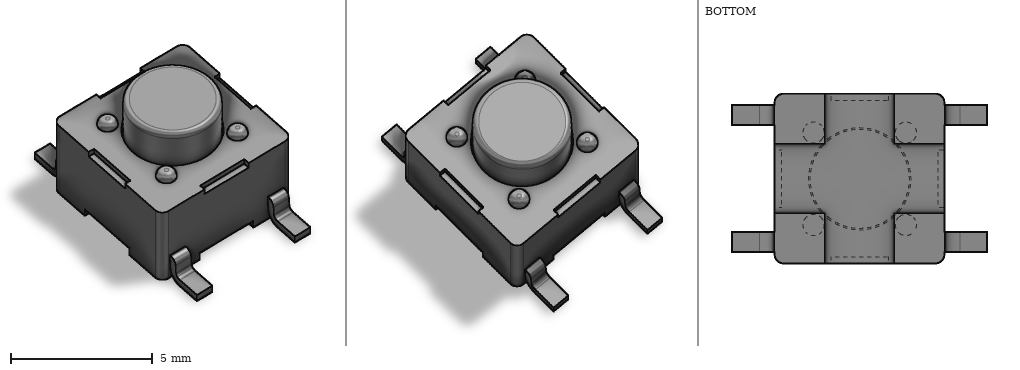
import cadquery as cq
import math

body_side = 6.0
body_height = 3.45
corner_radius = 0.33
cover_thickness = 0.23

notch_width = 2.02
notch_depth = 0.24

channel_width = 2.45
channel_height = 0.33

button_diameter = 3.5
opening_diameter = 3.61
button_top = 5.0
button_fillet = 0.22

rivet_diameter = 0.75
rivet_height = 0.31
rivet_fillet = 0.3
rivet_offset = 1.63

lead_span = 9.0
lead_width = 0.71
lead_thickness = 0.315
lead_spacing = 4.48
lead_height = 1.125
lead_lean = math.radians(4)
foot_length = 0.96
inner_bend_radius = 0.2
shoulder_radius = 0.27
lead_embed = 0.27

half_body = body_side / 2
cover_bottom = body_height - cover_thickness


def make_housing():
    block = cq.Workplane("XY").rect(body_side, body_side).extrude(cover_bottom)
    block = block.edges("|Z").fillet(corner_radius)
    for length, width in ((body_side, channel_width), (channel_width, body_side)):
        channel = cq.Workplane("XY").rect(length, width).extrude(channel_height)
        block = block.cut(channel)
    return block


def make_cover():
    cover = cq.Workplane("XY", origin=(0, 0, cover_bottom)).rect(body_side, body_side)
    cover = cover.extrude(cover_thickness).edges("|Z").fillet(corner_radius)
    opening = cq.Workplane("XY", origin=(0, 0, cover_bottom)).circle(opening_diameter / 2)
    cover = cover.cut(opening.extrude(cover_thickness))
    notch = (
        cq.Workplane("XY", origin=(half_body - notch_depth / 2, 0, cover_bottom))
        .rect(notch_depth, notch_width)
        .extrude(cover_thickness)
    )
    for angle in (0, 90, 180, 270):
        cover = cover.cut(notch.rotate((0, 0, 0), (0, 0, 1), angle))
    return cover


def make_button():
    button = cq.Workplane("XY", origin=(0, 0, cover_bottom)).circle(button_diameter / 2)
    return button.extrude(button_top - cover_bottom).faces(">Z").edges().fillet(button_fillet)


def make_rivets():
    rivets = cq.Workplane("XY", origin=(0, 0, body_height))
    rivets = rivets.rect(2 * rivet_offset, 2 * rivet_offset, forConstruction=True).vertices()
    rivets = rivets.circle(rivet_diameter / 2).extrude(rivet_height)
    return rivets.faces(">Z").edges().fillet(rivet_fillet)


def make_lead():
    """Lead on the -X side, centred on Y = 0."""
    outer_bend_radius = inner_bend_radius + lead_thickness
    foot_end = -lead_span / 2
    bend_x = foot_end + foot_length
    bend_z = outer_bend_radius

    def on_bend(radius, angle):
        return (bend_x + radius * math.sin(angle), bend_z - radius * math.cos(angle))

    turn = math.pi / 2 - lead_lean
    inner_end = on_bend(inner_bend_radius, turn)
    outer_end = on_bend(outer_bend_radius, turn)

    shoulder_z = lead_height - shoulder_radius
    face_z = shoulder_z + shoulder_radius * math.sin(lead_lean)
    face_x = inner_end[0] + (face_z - inner_end[1]) * math.tan(lead_lean)
    shoulder_x = face_x + shoulder_radius * math.cos(lead_lean)
    mid_angle = math.pi - (math.pi / 2 + lead_lean) / 2
    shoulder_mid = (
        shoulder_x + shoulder_radius * math.cos(mid_angle),
        shoulder_z + shoulder_radius * math.sin(mid_angle),
    )

    root_x = -half_body + lead_embed
    entry_x = -half_body
    entry_z = outer_end[1] + (entry_x - outer_end[0]) / math.tan(lead_lean)
    return (
        cq.Workplane("XZ")
        .moveTo(foot_end, 0)
        .lineTo(bend_x, 0)
        .threePointArc(on_bend(outer_bend_radius, turn / 2), outer_end)
        .lineTo(entry_x, entry_z)
        .lineTo(root_x, entry_z)
        .lineTo(root_x, lead_height)
        .lineTo(shoulder_x, lead_height)
        .threePointArc(shoulder_mid, (face_x, face_z))
        .lineTo(*inner_end)
        .threePointArc(on_bend(inner_bend_radius, turn / 2), (bend_x, lead_thickness))
        .lineTo(foot_end, lead_thickness)
        .close()
        .extrude(lead_width / 2, both=True)
    )


result = make_housing().union(make_cover()).union(make_button()).union(make_rivets())
lead = make_lead()
for y in (-lead_spacing / 2, lead_spacing / 2):
    left_lead = lead.translate((0, y, 0))
    result = result.union(left_lead).union(left_lead.mirror("YZ"))